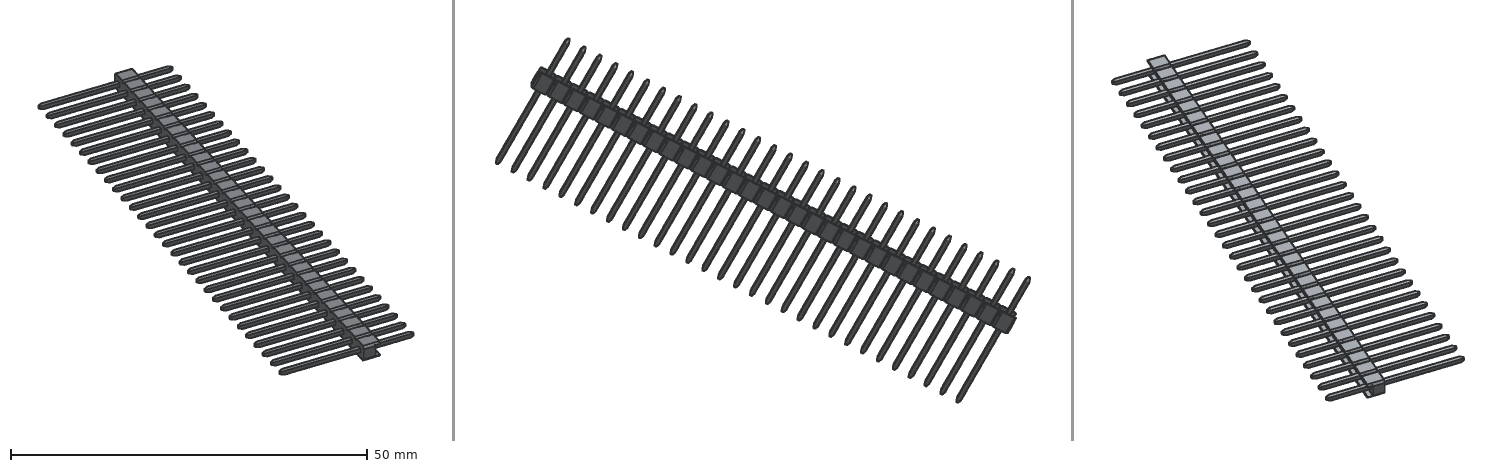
import cadquery as cq

length = 76.2
height = 2.5
pin_count = 30
pitch = length / pin_count

pin_width = 0.64
pin_length = 21.1
pin_offset = -0.09
tip_length = 0.55
tip_inset = pin_width / 4

body_depth = 2.6
body_rear = 4.65
bevel_x = 0.3
bevel_z = 0.4

channel_depth = 0.8
flange_thickness = 0.32
channel_height = height - 2 * flange_thickness

block_centers = [(i + 0.5) * pitch - length / 2 for i in range(pin_count)]


def upper_edge():
    """Top of the body outline from -X to +X, bevelled at each block's corners."""
    half_width = pitch / 2
    shoulder = height / 2 - bevel_z
    points = [(-length / 2, shoulder)]
    for x in block_centers:
        points += [
            (x - half_width + bevel_x, height / 2),
            (x + half_width - bevel_x, height / 2),
            (x + half_width, shoulder),
        ]
    return points


def make_body():
    """Row of joined blocks extruded along Y, with the rear channel cut out."""
    top = upper_edge()
    bottom = [(x, -z) for x, z in reversed(top)]
    blocks = (
        cq.Workplane("XZ", origin=(0, body_rear, 0))
        .polyline(top + bottom)
        .close()
        .extrude(body_depth)
    )
    channel = (
        cq.Workplane("XY", origin=(0, body_rear - channel_depth / 2, 0))
        .box(length, channel_depth, channel_height)
    )
    return blocks.cut(channel)


def tapered_bar(plane):
    """Bar along Y, as thick as a pin, whose ends narrow within the given plane."""
    half_length = pin_length / 2
    half_width = pin_width / 2
    shank_end = half_length - tip_length
    tip_half_width = half_width - tip_inset
    one_side = [
        (tip_half_width, -half_length),
        (half_width, -shank_end),
        (half_width, shank_end),
        (tip_half_width, half_length),
    ]
    other_side = [(-across, along) for across, along in reversed(one_side)]
    return (
        cq.Workplane(plane)
        .polyline(one_side + other_side)
        .close()
        .extrude(half_width, both=True)
    )


pin = tapered_bar("XY").intersect(tapered_bar("ZY")).val()
pins = (
    cq.Workplane("XY")
    .pushPoints([(x + pin_offset, 0) for x in block_centers])
    .eachpoint(lambda place: pin.moved(place))
)

result = make_body().union(pins)